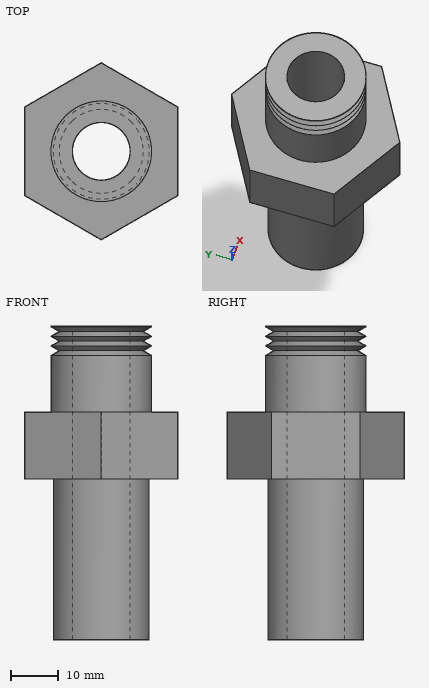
import cadquery as cq
import math

tube_length = 33.5
hex_height = 14.0
neck_length = 18.0
total_length = tube_length + hex_height + neck_length

tube_diameter = 20.0
bore_diameter = 12.0
hex_across_flats = 32.0
hex_sides = 6
hex_across_corners = hex_across_flats / math.cos(math.pi / hex_sides)
neck_diameter = 21.0

groove_count = 3
groove_pitch = 2.0
groove_included_angle = 60.0
top_land_height = 0.2
groove_depth = groove_pitch / 2 / math.tan(math.radians(groove_included_angle / 2))


def make_tube():
    return cq.Workplane("XY").circle(tube_diameter / 2).extrude(tube_length)


def make_hexagon():
    """Hexagon with two flats facing +X and -X."""
    return (
        cq.Workplane("XY")
        .workplane(offset=tube_length)
        .transformed(rotate=(0, 0, 90))
        .polygon(hex_sides, hex_across_corners)
        .extrude(hex_height)
    )


def make_threaded_neck():
    """Neck whose upper end carries V-grooves below a thin land."""
    crest_radius = neck_diameter / 2
    root_radius = crest_radius - groove_depth
    neck_base = tube_length + hex_height
    grooves_base = total_length - top_land_height - groove_count * groove_pitch

    profile = (
        cq.Workplane("XZ")
        .moveTo(0, neck_base)
        .lineTo(crest_radius, neck_base)
        .lineTo(crest_radius, grooves_base)
    )
    for index in range(groove_count):
        groove_base = grooves_base + index * groove_pitch
        profile = profile.lineTo(root_radius, groove_base + groove_pitch / 2)
        profile = profile.lineTo(crest_radius, groove_base + groove_pitch)
    profile = profile.lineTo(crest_radius, total_length)
    profile = profile.lineTo(0, total_length).close()
    return profile.revolve(360, (0, 0), (0, 1))


def make_bore():
    return cq.Workplane("XY").circle(bore_diameter / 2).extrude(total_length)


body = make_tube().union(make_hexagon()).union(make_threaded_neck())
result = body.cut(make_bore())